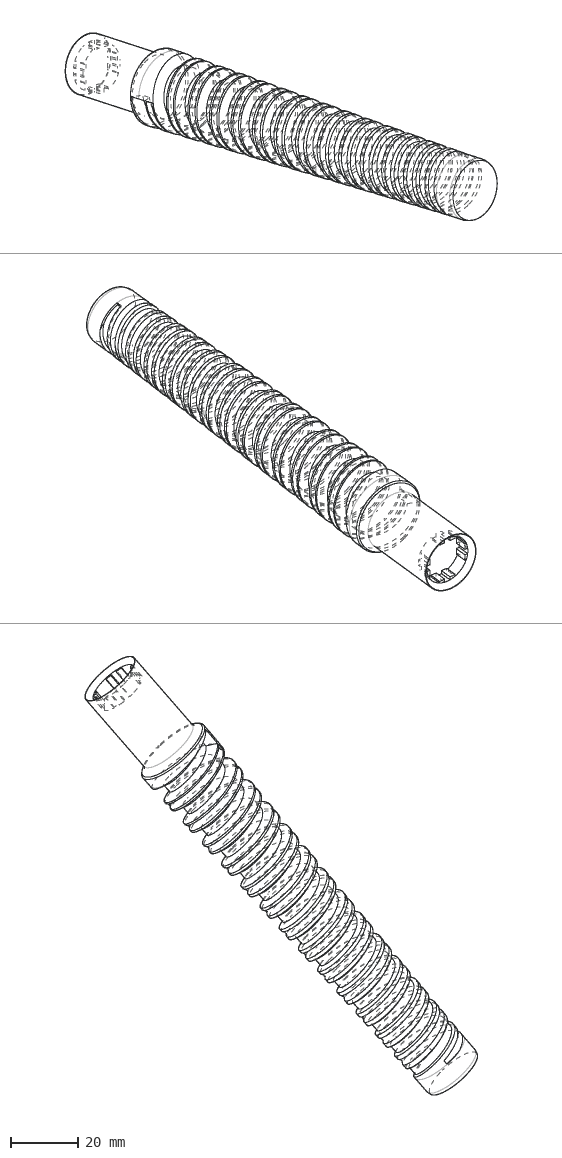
import cadquery as cq
import math

length = 164.0
tube_radius = 9.5
collar_radius = 12.0
neck_start = 27.7
neck_fillet = 2.0
collar_chamfer = 0.5
taper_start = 33.6
taper_end = 157.3
end_chamfer_length = 1.1
end_chamfer_depth = 0.3

pitch = 9.0
turns = 13.7
groove_start = 33.5
groove_floor_radius = 8.7
groove_floor_width = 2.8
groove_flank_angle = 24.0
cutter_radius = 13.1
hollow_turns = turns - 1 / 2
hollow_width = 2.3
hollow_depth = 0.5

mouth_radius = 9.3
mouth_depth = 1.6
bore_radius = 7.7
bore_depth = 5.7
rib_tip_distance = 6.5
rib_width = 2.0
rib_offset = 2.0
rib_side_count = 4

taper_slope = (collar_radius - tube_radius) / (taper_end - taper_start)
taper_angle = math.degrees(math.atan(taper_slope))


def make_body():
    """Tube, flared neck, collar, tapered grip and end ring, revolved about X."""
    neck_end = neck_start + neck_fillet
    arc_reach = neck_fillet * math.sqrt(0.5)
    arc_middle = (neck_start + arc_reach, tube_radius + neck_fillet - arc_reach)
    outline = (
        cq.Workplane("XY")
        .lineTo(0, tube_radius)
        .lineTo(neck_start, tube_radius)
        .threePointArc(arc_middle, (neck_end, tube_radius + neck_fillet))
        .lineTo(neck_end + collar_chamfer, collar_radius)
        .lineTo(taper_start, collar_radius)
        .lineTo(taper_end, tube_radius)
        .lineTo(length - end_chamfer_length, tube_radius)
        .lineTo(length, tube_radius - end_chamfer_depth)
        .lineTo(length, 0)
        .close()
    )
    return outline.revolve(360, (0, 0, 0), (1, 0, 0))


def lay_along_x(shape, start):
    """Turn a helix cutter from the Z axis to the X axis, starting on the -Y side."""
    turned = shape.rotate((0, 0, 0), (0, 1, 0), 90)
    return turned.rotate((0, 0, 0), (1, 0, 0), -90).translate((start, 0, 0))


def make_groove():
    """Trapezoidal cutter with a constant floor radius."""
    floor_half = groove_floor_width / 2
    rise = cutter_radius - groove_floor_radius
    top_half = floor_half + rise * math.tan(math.radians(groove_flank_angle))
    path = cq.Wire.makeHelix(pitch, pitch * turns, groove_floor_radius)
    profile = cq.Workplane("XZ").polyline(
        [
            (groove_floor_radius, -floor_half),
            (groove_floor_radius, floor_half),
            (cutter_radius, top_half),
            (cutter_radius, -top_half),
        ]
    ).close()
    return lay_along_x(profile.sweep(cq.Workplane(path), isFrenet=True), groove_start)


def make_crest_hollow():
    """Round cutter that follows the taper midway between turns of the groove."""
    start = groove_start + pitch / 2
    crest_radius = collar_radius - (start - taper_start) * taper_slope
    round_radius = ((hollow_width / 2) ** 2 + hollow_depth**2) / (2 * hollow_depth)
    path_radius = crest_radius - hollow_depth + round_radius
    path = cq.Wire.makeHelix(pitch, pitch * hollow_turns, path_radius, angle=-taper_angle)
    profile = cq.Workplane("XZ").center(path_radius, 0).circle(round_radius)
    return lay_along_x(profile.sweep(cq.Workplane(path), isFrenet=True), start)


def make_socket():
    """Flared round bore with a pair of ribs left standing on each of four sides."""
    socket = (
        cq.Workplane("XY")
        .lineTo(0, mouth_radius)
        .lineTo(mouth_depth, bore_radius)
        .lineTo(bore_depth, bore_radius)
        .lineTo(bore_depth, 0)
        .close()
        .revolve(360, (0, 0, 0), (1, 0, 0))
    )
    rib_height = bore_radius - rib_tip_distance
    rib_length = bore_depth - mouth_depth
    rib_pair = (
        cq.Workplane("YZ", origin=(mouth_depth, 0, 0))
        .pushPoints([(side * rib_offset, rib_tip_distance + rib_height / 2) for side in (-1, 1)])
        .rect(rib_width, rib_height)
        .extrude(rib_length)
    )
    for index in range(rib_side_count):
        angle = index * 360 / rib_side_count
        socket = socket.cut(rib_pair.rotate((0, 0, 0), (1, 0, 0), angle))
    return socket


ring_guard = (
    cq.Workplane("YZ", origin=(taper_end, 0, 0)).circle(2 * collar_radius).extrude(2 * pitch)
)
result = make_body()
for cutter in (make_groove(), make_crest_hollow()):
    result = result.cut(cutter.cut(ring_guard))
result = result.cut(make_socket())